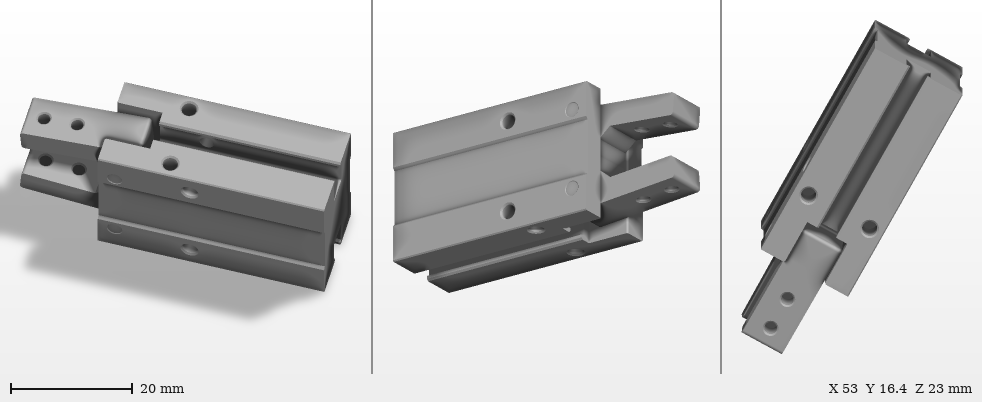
import cadquery as cq
import math


TOTAL_LENGTH = 53.05
HOUSING_WIDTH = 16.4
HOUSING_HEIGHT = 23.0

PIVOT_X = 2.85
PIVOT_Z = 7.0
PIVOT_DIAMETER = 2.45
PIVOT_EDGE_CHAMFER = 0.1
FINGER_ANGLE = math.radians(4.6)
FINGER_REACH = 17.3
FINGER_WIDTH = 7.55
FINGER_THICKNESS = 4.05
FINGER_TOP = 1.95
TIP_FILLET = 0.6
INNER_FACE_REACH = 2.75
RAMP_HEIGHT = 1.95
REAR_REACH = 3.15
REAR_FILLET = 0.6
TOE_LENGTH = 0.4
TOE_TOP = -4.5
TOE_FILLET = 0.35
FINGER_HOLE_DIAMETER = 2.05
FINGER_HOLE_RIM = 2.6
FINGER_HOLE_COUNT = 2
FINGER_HOLE_SPACING = 5.7
FIRST_HOLE_FROM_TIP = 3.1

TIP_X = (
    PIVOT_X
    - (FINGER_REACH - TIP_FILLET) * math.cos(FINGER_ANGLE)
    - (FINGER_TOP - TIP_FILLET) * math.sin(FINGER_ANGLE)
    - TIP_FILLET
)
HOUSING_LENGTH = TOTAL_LENGTH + TIP_X
SIDE_RECESS_DEPTH = 0.5
SIDE_RECESS_HEIGHT = 9.5
EDGE_CHAMFER = 0.2
FINGER_SLOT_DEPTH = 7.7
FINGER_SLOT_CHAMFER = 0.2
GROOVE_MOUTH = 3.3
GROOVE_WIDTH = 4.6
GROOVE_LIP = 0.85
GROOVE_DEPTH = 5.4
GROOVE_FLOOR_FILLET = 0.25
LIP_CHAMFER = 0.3
SCREW_DIAMETER = 2.5
SCREW_RIM = 3.1
SIDE_HOLE_X = 15.65
SIDE_HOLE_Z = 8.0
FACE_HOLE_X = 11.7
FACE_HOLE_Y = 5.75
FACE_HOLE_DEPTH = 6.0


def housing_profile():
    """Cross-section in the YZ plane: a block with a shallow recess along each side."""
    half_width = HOUSING_WIDTH / 2
    half_height = HOUSING_HEIGHT / 2
    floor_y = half_width - SIDE_RECESS_DEPTH
    floor_z = SIDE_RECESS_HEIGHT / 2
    rim_z = floor_z + SIDE_RECESS_DEPTH
    right_side = [
        (half_width - EDGE_CHAMFER, -half_height),
        (half_width, -half_height + EDGE_CHAMFER),
        (half_width, -rim_z),
        (floor_y, -floor_z),
        (floor_y, floor_z),
        (half_width, rim_z),
        (half_width, half_height - EDGE_CHAMFER),
        (half_width - EDGE_CHAMFER, half_height),
    ]
    left_side = [(-y, -z) for y, z in right_side]
    return cq.Workplane("YZ").polyline(right_side + left_side).close()


def sensor_groove(side):
    """T groove along X in the top (side = 1) or bottom (side = -1) face."""
    face_z = HOUSING_HEIGHT / 2
    half_mouth = GROOVE_MOUTH / 2
    half_width = GROOVE_WIDTH / 2
    half = [
        (half_mouth + LIP_CHAMFER, face_z),
        (half_mouth, face_z - LIP_CHAMFER),
        (half_mouth, face_z - GROOVE_LIP),
        (half_width, face_z - GROOVE_LIP),
        (half_width, face_z - GROOVE_DEPTH),
    ]
    mirrored = [(-y, z) for y, z in reversed(half)]
    outline = [(y, side * z) for y, z in half + mirrored]
    groove = cq.Workplane("YZ").polyline(outline).close().extrude(HOUSING_LENGTH)
    floor = "<Z" if side > 0 else ">Z"
    return groove.faces(floor).edges("|X").fillet(GROOVE_FLOOR_FILLET)


def finger_slot():
    """Slot through the full height at the front, with its front edges broken."""
    half = FINGER_WIDTH / 2
    outline = [
        (0, -half - FINGER_SLOT_CHAMFER),
        (FINGER_SLOT_CHAMFER, -half),
        (FINGER_SLOT_DEPTH, -half),
        (FINGER_SLOT_DEPTH, half),
        (FINGER_SLOT_CHAMFER, half),
        (0, half + FINGER_SLOT_CHAMFER),
    ]
    slot = cq.Workplane("XY").polyline(outline).close()
    return slot.extrude(HOUSING_HEIGHT / 2, both=True)


def drill(entry, direction, depth, diameter, rim_diameter):
    """Round hole cutter with a 45 degree countersink at its entry."""
    sink = (rim_diameter - diameter) / 2
    entry = cq.Vector(*entry)
    direction = cq.Vector(*direction)
    shaft = cq.Solid.makeCylinder(diameter / 2, depth, entry, direction)
    cone = cq.Solid.makeCone(rim_diameter / 2, diameter / 2, sink, entry, direction)
    return cq.Workplane(shaft).union(cq.Workplane(cone))


def make_housing():
    """Block with the finger slot, the sensor grooves and all screw and pivot holes."""
    housing = housing_profile().extrude(HOUSING_LENGTH)
    housing = housing.cut(finger_slot())
    for up in (1, -1):
        housing = housing.cut(sensor_groove(up))
        for side in (1, -1):
            side_y = side * HOUSING_WIDTH / 2
            inward = (0, -side, 0)
            side_hole = drill((SIDE_HOLE_X, side_y, up * SIDE_HOLE_Z), inward, HOUSING_WIDTH / 2,
                              SCREW_DIAMETER, SCREW_RIM)
            pivot_hole = drill((PIVOT_X, side_y, up * PIVOT_Z), inward, HOUSING_WIDTH / 2,
                               PIVOT_DIAMETER, PIVOT_DIAMETER + 2 * PIVOT_EDGE_CHAMFER)
            face_hole = drill((FACE_HOLE_X, side * FACE_HOLE_Y, up * HOUSING_HEIGHT / 2), (0, 0, -up),
                              FACE_HOLE_DEPTH, SCREW_DIAMETER, SCREW_RIM)
            housing = housing.cut(side_hole).cut(pivot_hole).cut(face_hole)
    return housing


def finger_blank():
    """Upper finger in its own frame: pivot at the origin, finger along -X."""
    underside = FINGER_TOP - FINGER_THICKNESS
    ramp_end = underside - RAMP_HEIGHT
    heel = -(PIVOT_Z - INNER_FACE_REACH * math.sin(FINGER_ANGLE)) / math.cos(FINGER_ANGLE)
    toe_reach = REAR_REACH + TOE_LENGTH
    outline = [
        (-FINGER_REACH, FINGER_TOP),
        (REAR_REACH, FINGER_TOP),
        (REAR_REACH, TOE_TOP),
        (toe_reach, TOE_TOP),
        (toe_reach, heel),
        (-INNER_FACE_REACH, heel),
        (-INNER_FACE_REACH, ramp_end),
        (-INNER_FACE_REACH - RAMP_HEIGHT, underside),
        (-FINGER_REACH, underside),
    ]
    blank = cq.Workplane("XZ").polyline(outline).close().extrude(FINGER_WIDTH / 2, both=True)
    blank = blank.edges("|Y").edges("<X").fillet(TIP_FILLET)
    rear_corner = (REAR_REACH, 0, FINGER_TOP)
    blank = blank.edges(cq.NearestToPointSelector(rear_corner)).fillet(REAR_FILLET)
    toe_corner = (toe_reach, 0, TOE_TOP)
    return blank.edges(cq.NearestToPointSelector(toe_corner)).fillet(TOE_FILLET)


def finger_holes():
    """Mounting holes through the finger, countersunk on both faces."""
    underside = FINGER_TOP - FINGER_THICKNESS
    holes = cq.Workplane("XY")
    for index in range(FINGER_HOLE_COUNT):
        x = -FINGER_REACH + FIRST_HOLE_FROM_TIP + index * FINGER_HOLE_SPACING
        for entry_z, direction_z in ((FINGER_TOP, -1), (underside, 1)):
            holes = holes.add(drill((x, 0, entry_z), (0, 0, direction_z), FINGER_THICKNESS,
                                    FINGER_HOLE_DIAMETER, FINGER_HOLE_RIM))
    return holes.combine()


def pivot_journals():
    """Pivot pin of the finger; its ends stop at the foot of the hole chamfers in the housing."""
    half_length = HOUSING_WIDTH / 2 - PIVOT_EDGE_CHAMFER
    return cq.Workplane("XZ").circle(PIVOT_DIAMETER / 2).extrude(half_length, both=True)


def make_finger(side):
    """Upper (side = 1) or lower (side = -1) finger with its pivot, in place."""
    finger = finger_blank().cut(finger_holes()).union(pivot_journals())
    finger = finger.rotate((0, 0, 0), (0, 1, 0), -math.degrees(FINGER_ANGLE))
    finger = finger.translate((PIVOT_X, 0, PIVOT_Z))
    return finger if side > 0 else finger.mirror("XY")


housing = make_housing()
fingers = [make_finger(side) for side in (1, -1)]
bodies = [housing, *fingers]
result = cq.Compound.makeCompound([body.solids().val() for body in bodies])